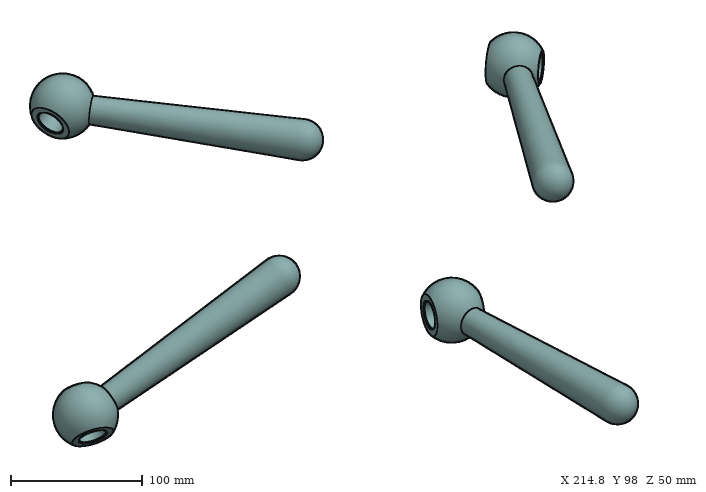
import cadquery as cq
import math

ball_radius = 25.0
front_flat = 18.7
back_flat = 21.3
bore_radius = 10.5
bore_chamfer = 0.9

lever_angle = 20.0
neck_radius = 11.2
neck_end = 23.5
cap_radius = 16.0
overall_length = 214.8

cap_distance = (overall_length - ball_radius - cap_radius) / math.cos(math.radians(lever_angle))


def make_ball():
    """Ball with two parallel flats, revolved about the bore axis."""
    front_flat_radius = math.sqrt(ball_radius**2 - front_flat**2)
    back_flat_radius = math.sqrt(ball_radius**2 - back_flat**2)
    return (
        cq.Workplane("YZ")
        .moveTo(-front_flat, 0)
        .lineTo(-front_flat, front_flat_radius)
        .threePointArc((0, ball_radius), (back_flat, back_flat_radius))
        .lineTo(back_flat, 0)
        .close()
        .revolve(360, (0, 0, 0), (1, 0, 0))
    )


def make_lever():
    """Neck, taper and tangent spherical cap, revolved about the lever axis."""
    neck_to_cap = cap_distance - neck_end
    cap_half_angle = math.asin(cap_radius / math.hypot(neck_to_cap, neck_radius))
    taper = cap_half_angle - math.atan2(neck_radius, neck_to_cap)
    tangent_point = (cap_distance - cap_radius * math.sin(taper), cap_radius * math.cos(taper))
    cap_mid_offset = cap_radius * math.sqrt(0.5)
    lever = (
        cq.Workplane("XY")
        .lineTo(0, neck_radius)
        .lineTo(neck_end, neck_radius)
        .lineTo(*tangent_point)
        .threePointArc(
            (cap_distance + cap_mid_offset, cap_mid_offset),
            (cap_distance + cap_radius, 0),
        )
        .close()
        .revolve(360, (0, 0, 0), (1, 0, 0))
    )
    return lever.rotate((0, 0, 0), (0, 0, 1), lever_angle)


def make_bore():
    """Through bore, widened by a chamfer at each flat."""
    mouth_radius = bore_radius + bore_chamfer
    return (
        cq.Workplane("XY")
        .moveTo(0, -front_flat)
        .lineTo(mouth_radius, -front_flat)
        .lineTo(bore_radius, -front_flat + bore_chamfer)
        .lineTo(bore_radius, back_flat - bore_chamfer)
        .lineTo(mouth_radius, back_flat)
        .lineTo(0, back_flat)
        .close()
        .revolve(360, (0, 0, 0), (0, 1, 0))
    )


result = make_ball().union(make_lever()).cut(make_bore())